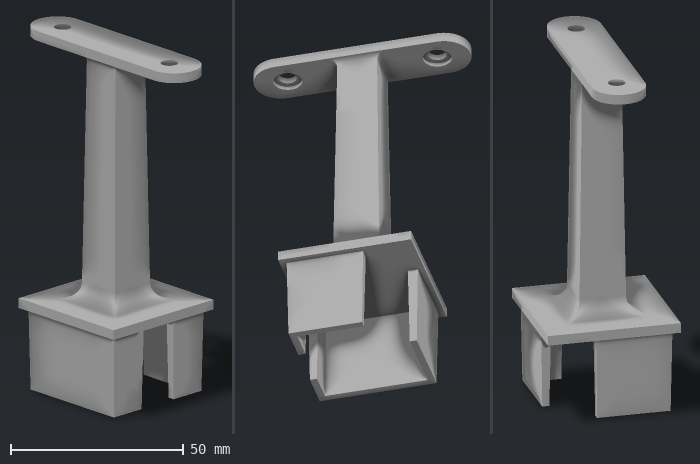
import cadquery as cq
import math

saddle_length = 65.0
saddle_width = 16.0
saddle_thickness = 3.0
screw_hole_diameter = 5.2
screw_hole_spacing = 45.0
screw_head_diameter = 8.4
screw_head_depth = 1.2

stem_bottom_width = 14.0
stem_top_width = 12.0
bottom_fillet = 5.0
top_fillet = 1.75
stem_neck_height = 0.4

flange_width = 40.0
flange_thickness = 3.0

plug_width = 36.0
plug_height = 25.0
wall_thickness = 3.0
draft_angle = 1.0
draft_inset = plug_height * math.tan(math.radians(draft_angle))
corner_end = 5.0
window_width = 12.0

total_height = 106.0
flange_bottom = plug_height
flange_top = flange_bottom + flange_thickness
saddle_bottom = total_height - saddle_thickness


def drafted_block(x_min, x_max, y_min, y_max, inset=draft_inset):
    """Block hanging from the flange whose sides lean inward (outward if inset is negative)."""
    length = x_max - x_min
    width = y_max - y_min
    return (
        cq.Workplane("XY", origin=((x_min + x_max) / 2, (y_min + y_max) / 2, 0))
        .rect(length - 2 * inset, width - 2 * inset)
        .workplane(offset=flange_bottom)
        .rect(length, width)
        .loft(ruled=True)
    )


def make_plug():
    """Hollow square plug with one corner open and a window in the +X wall."""
    half = plug_width / 2
    inner = half - wall_thickness
    plug = drafted_block(-half, half, -half, half)
    cavity = drafted_block(-inner, inner, -inner, inner, inset=-draft_inset)
    open_corner = drafted_block(-flange_width, -corner_end, corner_end, flange_width, inset=-draft_inset)
    window = drafted_block(0, flange_width, -window_width / 2, window_width / 2, inset=-draft_inset)
    return plug.cut(cavity).cut(open_corner).cut(window)


def make_flange():
    """Square plate that closes the end of the tube."""
    return (
        cq.Workplane("XY", origin=(0, 0, flange_bottom))
        .rect(flange_width, flange_width)
        .extrude(flange_thickness)
    )


def stem_profile(plane):
    """Symmetric stem outline with concave feet at both ends, extruded both ways."""
    bottom_half = stem_bottom_width / 2
    top_half = stem_top_width / 2
    taper_bottom = flange_top + bottom_fillet
    neck_top = saddle_bottom - top_fillet
    bottom_foot = bottom_half + bottom_fillet
    top_foot = top_half + top_fillet
    return (
        cq.Workplane(plane)
        .moveTo(-bottom_foot, flange_top)
        .lineTo(bottom_foot, flange_top)
        .radiusArc((bottom_half, taper_bottom), bottom_fillet)
        .lineTo(top_half, neck_top - stem_neck_height)
        .lineTo(top_half, neck_top)
        .radiusArc((top_foot, saddle_bottom), top_fillet)
        .lineTo(-top_foot, saddle_bottom)
        .radiusArc((-top_half, neck_top), top_fillet)
        .lineTo(-top_half, neck_top - stem_neck_height)
        .lineTo(-bottom_half, taper_bottom)
        .radiusArc((-bottom_foot, flange_top), bottom_fillet)
        .close()
        .extrude(flange_width / 2, both=True)
    )


def make_stem():
    """Square stem: the same outline in both directions, so the feet meet in mitres."""
    return stem_profile("XZ").intersect(stem_profile("YZ"))


def make_saddle():
    """Round-ended plate with two screw holes counterbored from below."""
    return (
        cq.Workplane("XY", origin=(0, 0, saddle_bottom))
        .slot2D(saddle_length, saddle_width)
        .extrude(saddle_thickness)
        .faces("<Z")
        .workplane()
        .pushPoints([(-screw_hole_spacing / 2, 0), (screw_hole_spacing / 2, 0)])
        .cboreHole(screw_hole_diameter, screw_head_diameter, screw_head_depth)
    )


result = make_plug().union(make_flange()).union(make_stem()).union(make_saddle())